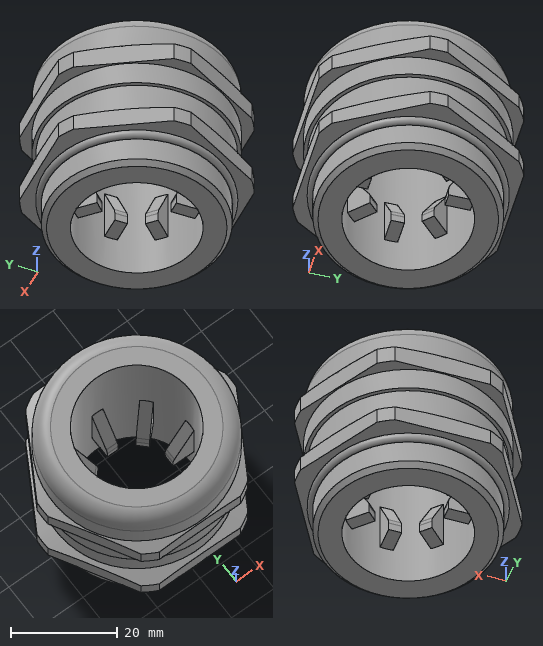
import cadquery as cq
import math

total_height = 37.0
thread_chamfer = 1.0
seal_bottom = 6.1
body_hex_bottom = 8.0
body_hex_top = 12.3
cap_bottom = 19.0
cap_hex_bottom = 24.0
cap_hex_top = 28.42

thread_radius = 18.0
seal_radius = 19.05
body_radius = 19.0
cap_radius = 19.75
cap_rounding = 3.5
bore_radius = 12.5

hex_sides = 6
hex_across_flats = 40.0
hex_corner_radius = 22.15
hex_bevel_angle = 15.0
hex_turn = 180 / hex_sides

finger_count = 8
finger_width = 2.6
finger_tip_radius = 7.55
finger_tip_rounding = 2.5
finger_root_height = 19.0
finger_slope = 60.0
finger_bottom = body_hex_bottom
finger_root_overlap = 0.5


def revolved(profile):
    """Closed profile in the XZ plane turned once around the Z axis."""
    return profile.revolve(360, (0, 0, 0), (0, 1, 0))


def cylinder(radius, bottom, top):
    """Upright cylinder on the Z axis between two heights."""
    return cq.Workplane("XY").workplane(offset=bottom).circle(radius).extrude(top - bottom)


def hexagon(bottom, top, neck_radius):
    """Hexagon with turned corners and a conical bevel that ends at the neck above it."""
    bevel_drop = (hex_corner_radius - neck_radius) * math.tan(math.radians(hex_bevel_angle))
    prism = (
        cq.Workplane("XY")
        .workplane(offset=bottom)
        .polygon(hex_sides, hex_across_flats, circumscribed=True)
        .extrude(top - bottom)
        .rotate((0, 0, 0), (0, 0, 1), hex_turn)
    )
    turned_profile = (
        cq.Workplane("XZ")
        .moveTo(0, bottom)
        .lineTo(hex_corner_radius, bottom)
        .lineTo(hex_corner_radius, top - bevel_drop)
        .lineTo(neck_radius, top)
        .lineTo(0, top)
        .close()
    )
    return prism.intersect(revolved(turned_profile))


def threaded_end():
    """Lower end with a chamfered rim, running up into the hexagon."""
    return cylinder(thread_radius, 0, body_hex_bottom).faces("<Z").chamfer(thread_chamfer)


def seal_ring():
    """Sealing ring with a fully rounded rim under the lower hexagon."""
    rim_radius = (body_hex_bottom - seal_bottom) / 2
    middle_height = (body_hex_bottom + seal_bottom) / 2
    profile = (
        cq.Workplane("XZ")
        .moveTo(0, seal_bottom)
        .lineTo(seal_radius - rim_radius, seal_bottom)
        .threePointArc((seal_radius, middle_height), (seal_radius - rim_radius, body_hex_bottom))
        .lineTo(0, body_hex_bottom)
        .close()
    )
    return revolved(profile)


def cap():
    """Dome cap with a rounded top rim."""
    return cylinder(cap_radius, cap_bottom, total_height).faces(">Z").edges().fillet(cap_rounding)


def finger():
    """One finger on the +X side, sloping down from the bore wall into a rounded tip."""
    slope = math.radians(finger_slope)
    round_start_radius = finger_tip_radius + finger_tip_rounding * (1 - math.sin(slope))
    round_start_height = finger_root_height - (bore_radius - round_start_radius) * math.tan(slope)
    round_end_height = round_start_height - finger_tip_rounding * math.cos(slope)
    root_radius = bore_radius + finger_root_overlap
    return (
        cq.Workplane("XZ")
        .moveTo(root_radius, finger_bottom)
        .lineTo(root_radius, finger_root_height)
        .lineTo(bore_radius, finger_root_height)
        .lineTo(round_start_radius, round_start_height)
        .radiusArc((finger_tip_radius, round_end_height), -finger_tip_rounding)
        .lineTo(finger_tip_radius, finger_bottom)
        .close()
        .extrude(finger_width / 2, both=True)
    )


def fingers():
    """All fingers, evenly spaced around the bore."""
    ring = finger()
    for index in range(1, finger_count):
        angle = index * 360 / finger_count
        ring = ring.add(finger().rotate((0, 0, 0), (0, 0, 1), angle))
    return ring.combine()


result = (
    threaded_end()
    .union(seal_ring())
    .union(hexagon(body_hex_bottom, body_hex_top, body_radius))
    .union(cylinder(body_radius, body_hex_bottom, cap_bottom))
    .union(cap())
    .union(hexagon(cap_hex_bottom, cap_hex_top, cap_radius))
    .cut(cylinder(bore_radius, 0, total_height))
    .union(fingers())
)